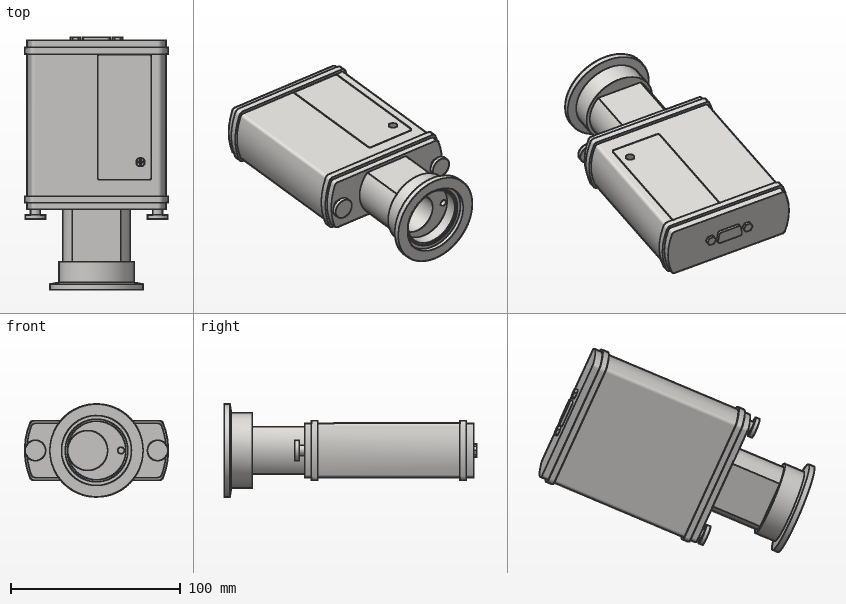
import cadquery as cq
import math

length = 149.0

flange_diameter = 55.0
flange_rim = 3.5
flange_taper_end = 4.3
collar_diameter = 44.5
collar_end = 16.7
neck_diameter = 40.1
neck_height = 28.0

stepped_bores = [(41.3, 2.7), (37.0, 3.7), (34.5, 11.2)]
bore_floor = stepped_bores[-1][1]
eye_diameter = 23.5
eye_offset = -5.2
pilot_diameter = 3.9
pilot_offset = 14.5
pilot_depth = 6.0

housing_front = 47.4
housing_back = 147.2
housing_width = 82.1
housing_height = 31.9
housing_corner = 2.2

band_length = 3.9
band_width = 84.8
band_height = 35.3
front_band_start = 51.4
front_band_corner = 2.7
back_band_start = 139.0
back_band_corner = 3.7

screw_offset = 36.0
screw_stem_diameter = 6.0
screw_head_diameter = 12.0
screw_head_front = 41.7
screw_head_length = 2.5

label_left = 0.6
label_right = 32.3
label_front = 64.8
label_gap = 0.3
label_back = back_band_start - label_gap
label_corner = 1.3
label_thickness = 0.3

adjuster_diameter = 5.0
adjuster_x = 26.0
adjuster_y = 75.2
adjuster_depth = 6.0
cross_length = 4.2
cross_width = 0.9
cross_depth = 0.7

connector_height = 7.7
connector_top_width = 14.2
connector_bottom_width = 16.7
connector_corner = 1.5
nut_offset = 12.4
nut_across_flats = 5.2


def xz_plane(y):
    """Sketch plane at the given Y, with X right, Z up and extrusion toward -Y."""
    return cq.Workplane("XZ", origin=(0, y, 0))


def disc(diameter, start, end, x=0.0):
    """Round bar along Y from start to end."""
    return xz_plane(end).center(x, 0).circle(diameter / 2).extrude(end - start)


def flattened_round(diameter, height, start, end):
    """Round bar along Y with flats at the top and bottom."""
    slab = xz_plane(end).rect(diameter, height).extrude(end - start)
    return disc(diameter, start, end).intersect(slab)


def housing_section(width, height, corner, start, end):
    """Flattened bar whose four long edges are rounded."""
    return flattened_round(width, height, start, end).edges("|Y").fillet(corner)


def flange_and_collar():
    rim = flange_diameter / 2
    collar = collar_diameter / 2
    outline = [
        (0, 0),
        (rim, 0),
        (rim, flange_rim),
        (collar, flange_taper_end),
        (collar, collar_end),
        (0, collar_end),
    ]
    return cq.Workplane("XY").polyline(outline).close().revolve(360, (0, 0, 0), (0, 1, 0))


def thumb_screw(x):
    head_back = screw_head_front + screw_head_length
    head = disc(screw_head_diameter, screw_head_front, head_back, x)
    stem = disc(screw_stem_diameter, head_back, housing_front, x)
    return head.union(stem)


def label_plate():
    center_x = (label_left + label_right) / 2
    center_y = (label_front + label_back) / 2
    return (
        cq.Workplane("XY", origin=(center_x, center_y, housing_height / 2))
        .rect(label_right - label_left, label_back - label_front)
        .extrude(label_thickness)
        .edges("|Z")
        .fillet(label_corner)
    )


def adjuster_hole():
    top = housing_height / 2 + label_thickness
    hole = (
        cq.Workplane("XY", origin=(adjuster_x, adjuster_y, top))
        .circle(adjuster_diameter / 2)
        .extrude(-adjuster_depth)
    )
    floor = cq.Workplane("XY", origin=(adjuster_x, adjuster_y, top - adjuster_depth))
    cross = floor.rect(cross_length, cross_width).extrude(-cross_depth)
    cross = cross.union(floor.rect(cross_width, cross_length).extrude(-cross_depth))
    return hole.union(cross)


def connector():
    """D-shaped shell, wider at the bottom, between two hexagonal nuts."""
    depth = length - housing_back
    half_height = connector_height / 2
    outline = [
        (-connector_bottom_width / 2, -half_height),
        (connector_bottom_width / 2, -half_height),
        (connector_top_width / 2, half_height),
        (-connector_top_width / 2, half_height),
    ]
    shell = xz_plane(length).polyline(outline).close().extrude(depth)
    shell = shell.edges("|Y").fillet(connector_corner)
    across_corners = nut_across_flats / math.cos(math.pi / 6)
    nut_centers = [(-nut_offset, 0), (nut_offset, 0)]
    nuts = xz_plane(length).pushPoints(nut_centers).polygon(6, across_corners).extrude(depth)
    return shell.union(nuts)


result = flange_and_collar()
result = result.union(flattened_round(neck_diameter, neck_height, collar_end, housing_front))
result = result.union(
    housing_section(housing_width, housing_height, housing_corner, housing_front, housing_back)
)
for start, corner in [(front_band_start, front_band_corner), (back_band_start, back_band_corner)]:
    band = housing_section(band_width, band_height, corner, start, start + band_length)
    result = result.union(band)
for side in (-1, 1):
    result = result.union(thumb_screw(side * screw_offset))
result = result.union(label_plate())
result = result.union(connector())

result = result.cut(adjuster_hole())

for diameter, depth in stepped_bores:
    result = result.cut(disc(diameter, 0, depth))
result = result.cut(disc(eye_diameter, bore_floor, housing_front, eye_offset))
result = result.cut(disc(pilot_diameter, bore_floor, bore_floor + pilot_depth, pilot_offset))